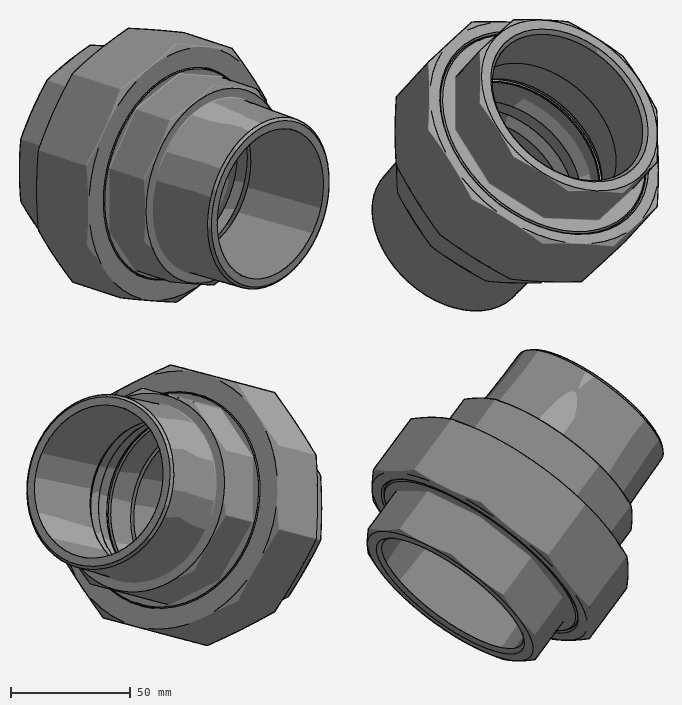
import cadquery as cq
import math


length = 105.0
female_flange_face = 22.0
female_thread_end = 24.6
sealing_face = 39.6
gasket_width = 2.5
nut_start = 21.8
nut_end = 52.0
nut_lip_width = 5.2
male_collar_face = 52.3
male_grip_end = 73.1

gasket_end = sealing_face + gasket_width
nut_lip_start = nut_end - nut_lip_width

side_count = 10
nut_across_flats = 110.0
grip_across_flats = 85.0
nut_chamfer_dia = 109.5
grip_chamfer_dia = 84.4
chamfer_slope = math.tan(math.radians(20))
corner_radius = 1.0
chamfer_edge_radius = 0.3
root_radius = 0.5
blank_oversize = 1.1

mouth_dia = 75.5
female_thread_dia = 72.2
relief_dia = 75.5
mouth_chamfer = (mouth_dia - female_thread_dia) / 2

joint_dia = 98.8
nut_mouth_dia = 100.3
flange_edge_dia = 97.4
nut_mouth_chamfer = (nut_mouth_dia - joint_dia) / 2
flange_chamfer = (joint_dia - flange_edge_dia) / 2

collar_dia = 91.0
nut_lip_dia = 92.0
male_flange_dia = 96.5

male_root_dia = 76.0
male_tip_dia = 74.3
male_tip_chamfer = 1.2
male_mouth_dia = 75.5
male_mouth_chamfer = 0.3
land_dia = 70.0
land_length = 5.8
male_bore_dia = 65.0
bore_slope = math.tan(math.radians(30))
bore_blend_radius = 1.3

bore_cone_start = 48.2
land_start = bore_cone_start + (male_mouth_dia - land_dia) / 2 / bore_slope
land_end = land_start + land_length
male_bore_start = land_end + (land_dia - male_bore_dia) / 2 / bore_slope

gasket_inner_dia = 78.0
gasket_outer_dia = 91.0


def corner_dia(across_flats):
    """Diameter of the circle through the sharp corners of a decagon."""
    return across_flats / math.cos(math.pi / side_count)


def revolved(outline):
    """Solid of revolution about X from (x, diameter) points."""
    points = [(x, dia / 2) for x, dia in outline]
    return cq.Workplane("XZ").polyline(points).close().revolve(360, (0, 0, 0), (1, 0, 0))


def round_ring(body, x, dia, radius):
    """Fillet the edges that lie in the plane at x and fit inside the diameter."""
    slack = 0.06
    reach = dia / 2 + slack
    ring_box = cq.selectors.BoxSelector(
        (x - slack, -reach, -reach), (x + slack, reach, reach), boundingbox=True)
    return body.edges(ring_box).fillet(radius)


def decagon_bar(start, end, across_flats):
    """Decagonal bar along X with rounded corners, one of them pointing up Z."""
    reach = corner_dia(across_flats) / 2
    angles = [2 * math.pi * i / side_count for i in range(side_count)]
    corners = [(reach * math.sin(a), reach * math.cos(a)) for a in angles]
    bar = cq.Workplane("YZ", origin=(start, 0, 0)).polyline(corners).close().extrude(end - start)
    return bar.edges("|X").fillet(corner_radius)


def grip(start, end, across_flats, chamfer_dia, start_coned=True, end_coned=True):
    """Decagonal bar whose corners are trimmed by cones, with the trimmed edges softened."""
    blank_dia = across_flats * blank_oversize
    depth = (blank_dia - chamfer_dia) / 2 * chamfer_slope
    start_profile = [(start, blank_dia)]
    if start_coned:
        start_profile = [(start, chamfer_dia), (start + depth, blank_dia)]
    end_profile = [(end, blank_dia)]
    if end_coned:
        end_profile = [(end - depth, blank_dia), (end, chamfer_dia)]
    blank = revolved([(start, 0), *start_profile, *end_profile, (end, 0)])
    bar = decagon_bar(start, end, across_flats).intersect(blank)
    return bar.faces("%CONE").edges("not (%CIRCLE or %LINE)").fillet(chamfer_edge_radius)


def make_female_end():
    body = grip(0, female_flange_face, grip_across_flats, grip_chamfer_dia, end_coned=False)
    flange = revolved([
        (female_flange_face, 0),
        (female_flange_face, flange_edge_dia),
        (female_flange_face + flange_chamfer, joint_dia),
        (sealing_face, joint_dia),
        (sealing_face, 0),
    ])
    body = round_ring(body.union(flange), female_flange_face, corner_dia(grip_across_flats), root_radius)
    bore = revolved([
        (0, 0),
        (0, mouth_dia),
        (mouth_chamfer, female_thread_dia),
        (female_thread_end, female_thread_dia),
        (female_thread_end, relief_dia),
        (sealing_face, relief_dia),
        (sealing_face, 0),
    ])
    return body.cut(bore)


def make_nut():
    body = grip(nut_start, nut_end, nut_across_flats, nut_chamfer_dia)
    bore = revolved([
        (nut_start, 0),
        (nut_start, nut_mouth_dia),
        (nut_start + nut_mouth_chamfer, joint_dia),
        (nut_lip_start, joint_dia),
        (nut_lip_start, nut_lip_dia),
        (nut_end, nut_lip_dia),
        (nut_end, 0),
    ])
    return body.cut(bore)


def make_male_bore():
    """Cutter for the male end's stepped and coned passage."""
    bore = revolved([
        (gasket_end, 0),
        (gasket_end, male_mouth_dia + 2 * male_mouth_chamfer),
        (gasket_end + male_mouth_chamfer, male_mouth_dia),
        (bore_cone_start, male_mouth_dia),
        (land_start, land_dia),
        (land_end, land_dia),
        (male_bore_start, male_bore_dia),
        (length, male_bore_dia),
        (length, 0),
    ])
    return round_ring(bore, bore_cone_start, male_mouth_dia, bore_blend_radius)


def make_male_end():
    body = grip(male_collar_face, male_grip_end, grip_across_flats, grip_chamfer_dia, start_coned=False)
    collar = revolved([
        (gasket_end, 0),
        (gasket_end, male_flange_dia),
        (nut_lip_start, male_flange_dia),
        (nut_lip_start, collar_dia),
        (male_collar_face, collar_dia),
        (male_collar_face, 0),
    ])
    body = round_ring(body.union(collar), male_collar_face, corner_dia(grip_across_flats), root_radius)
    tapered_spigot = revolved([
        (male_grip_end, 0),
        (male_grip_end, male_root_dia),
        (length - male_tip_chamfer, male_tip_dia),
        (length, male_tip_dia - 2 * male_tip_chamfer),
        (length, 0),
    ])
    body = round_ring(body.union(tapered_spigot), male_grip_end, male_root_dia, root_radius)
    return body.cut(make_male_bore())


def make_gasket():
    return revolved([
        (sealing_face, gasket_inner_dia),
        (sealing_face, gasket_outer_dia),
        (gasket_end, gasket_outer_dia),
        (gasket_end, gasket_inner_dia),
    ])


female_end = make_female_end()
nut = make_nut()
male_end = make_male_end()
gasket = make_gasket()

result = cq.Compound.makeCompound([female_end.val(), nut.val(), male_end.val(), gasket.val()])